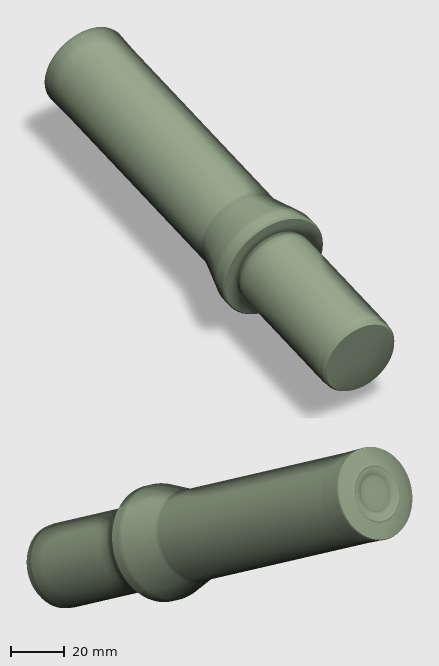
import cadquery as cq

TOTAL_LENGTH = 192.0
HEAD_END = 7.7
TAPER_END = 11.1
FLARE_START = 110.0
FLARE_END = 126.7
FLANGE_END = 132.0
NECK_END = 134.0
END_LAND_START = 188.0

HEAD_DIAMETER = 35.1
HEAD_REAR_DIAMETER = 34.8
BODY_DIAMETER = 34.5
FLANGE_DIAMETER = 44.0
NECK_DIAMETER = 31.5
SHANK_DIAMETER = 32.0
END_LAND_DIAMETER = NECK_DIAMETER

CREST_OUTER_DIAMETER = 21.9
CREST_INNER_DIAMETER = 20.0
DISH_DIAMETER = 17.5
DISH_STEP_DIAMETER = 15.0
DISH_FLOOR_DIAMETER = 14.0
DISH_DEPTH = 1.0
DISH_STEP_DEPTH = 0.8
DISH_RIM_DEPTH = 0.4
CREST_DROP = 0.2
FACE_RIM_SETBACK = 0.8
RIM_LENGTH = 0.5
RIM_STEP = 0.2

FLARE_BLEND_RADIUS = 4.2
FLANGE_CHAMFER = 0.5
NECK_STEP_LENGTH = 1.0
END_STEP_LENGTH = 1.3
END_CHAMFER_LENGTH = 1.2
END_CHAMFER_DEPTH = 0.8


def revolve_about_x(profile):
    """Close an (x, radius) outline and revolve it a full turn about the X axis."""
    return profile.close().revolve(360, (0, 0, 0), (1, 0, 0))


def make_cutting_head():
    """Short, slightly back-tapered head with a raised annular crest on its face."""
    head_radius = HEAD_DIAMETER / 2
    crest_mid_radius = (CREST_OUTER_DIAMETER + CREST_INNER_DIAMETER) / 4
    return revolve_about_x(
        cq.Workplane("XY")
        .moveTo(DISH_DEPTH, 0)
        .lineTo(DISH_DEPTH, DISH_FLOOR_DIAMETER / 2)
        .lineTo(DISH_STEP_DEPTH, DISH_STEP_DIAMETER / 2)
        .lineTo(DISH_RIM_DEPTH, DISH_DIAMETER / 2)
        .lineTo(CREST_DROP, CREST_INNER_DIAMETER / 2)
        .threePointArc((0, crest_mid_radius), (CREST_DROP, CREST_OUTER_DIAMETER / 2))
        .lineTo(FACE_RIM_SETBACK, head_radius - RIM_STEP)
        .lineTo(FACE_RIM_SETBACK + RIM_LENGTH, head_radius)
        .lineTo(HEAD_END, HEAD_REAR_DIAMETER / 2)
        .lineTo(HEAD_END, 0)
    )


def make_holder():
    """Turned holder: tapered nose, long body, flared flange, neck and shank."""
    body_radius = BODY_DIAMETER / 2
    flange_radius = FLANGE_DIAMETER / 2
    neck_radius = NECK_DIAMETER / 2
    shank_radius = SHANK_DIAMETER / 2
    end_land_radius = END_LAND_DIAMETER / 2
    blank = revolve_about_x(
        cq.Workplane("XY")
        .moveTo(HEAD_END, 0)
        .lineTo(HEAD_END, HEAD_REAR_DIAMETER / 2)
        .lineTo(TAPER_END, body_radius)
        .lineTo(FLARE_START, body_radius)
        .lineTo(FLARE_END, flange_radius)
        .lineTo(FLANGE_END - FLANGE_CHAMFER, flange_radius)
        .lineTo(FLANGE_END, flange_radius - FLANGE_CHAMFER)
        .lineTo(FLANGE_END, neck_radius)
        .lineTo(NECK_END - NECK_STEP_LENGTH, neck_radius)
        .lineTo(NECK_END, shank_radius)
        .lineTo(END_LAND_START, shank_radius)
        .lineTo(END_LAND_START + END_STEP_LENGTH, end_land_radius)
        .lineTo(TOTAL_LENGTH - END_CHAMFER_LENGTH, end_land_radius)
        .lineTo(TOTAL_LENGTH, end_land_radius - END_CHAMFER_DEPTH)
        .lineTo(TOTAL_LENGTH, 0)
    )
    flare_edges = (
        blank.edges(cq.selectors.NearestToPointSelector((FLARE_START, 0, 0)))
        .add(blank.edges(cq.selectors.NearestToPointSelector((FLARE_END, 0, 0))))
    )
    return blank.newObject(flare_edges.vals()).fillet(FLARE_BLEND_RADIUS)


cutting_head = make_cutting_head()
holder = make_holder()

result = cq.Compound.makeCompound([cutting_head.val(), holder.val()])